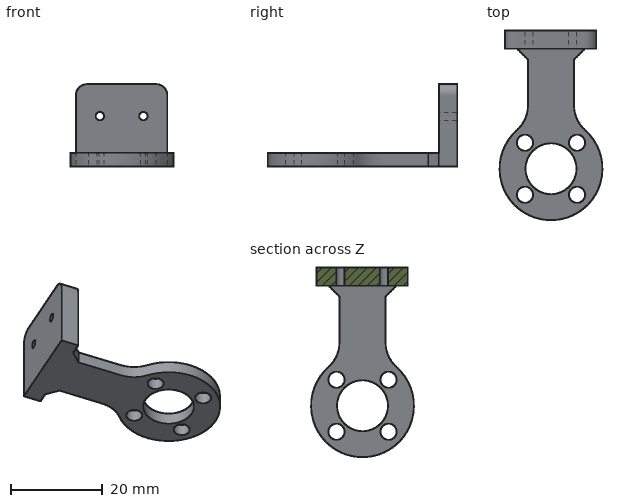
import cadquery as cq
import math

ring_diameter = 22.5
bore_diameter = 11.05
base_thickness = 3.0
ring_hole_diameter = 3.48
ring_hole_spacing = 11.35

overall_length = 41.4
plate_width = 20.0
plate_height = 18.0
plate_thickness = 4.0
plate_corner_radius = 2.5
plate_center_x = -0.1
plate_hole_diameter = 1.8
plate_hole_spacing = 9.5
plate_hole_height = 11.0

neck_width = 10.1
flare_width = 14.8
neck_blend_radius = 7.15

ring_radius = ring_diameter / 2
plate_back_y = overall_length - ring_radius
plate_front_y = plate_back_y - plate_thickness


def make_ring():
    return cq.Workplane("XY").circle(ring_radius).extrude(base_thickness)


def make_neck():
    """Flat neck: 45 degree flares at the plate, concave arcs tangent to the ring rim."""
    half_neck = neck_width / 2
    half_flare = flare_width / 2
    flare_start_y = plate_front_y - (half_flare - half_neck)

    blend_x = half_neck + neck_blend_radius
    center_distance = ring_radius + neck_blend_radius
    blend_y = math.sqrt(center_distance**2 - blend_x**2)

    ring_touch_x = blend_x * ring_radius / center_distance
    ring_touch_y = blend_y * ring_radius / center_distance
    arc_sweep = math.atan2(blend_y, blend_x)
    arc_mid_x = blend_x - neck_blend_radius * math.cos(arc_sweep / 2)
    arc_mid_y = blend_y - neck_blend_radius * math.sin(arc_sweep / 2)

    return (
        cq.Workplane("XY")
        .moveTo(0, 0)
        .lineTo(ring_touch_x, ring_touch_y)
        .threePointArc((arc_mid_x, arc_mid_y), (half_neck, blend_y))
        .lineTo(half_neck, flare_start_y)
        .lineTo(half_flare, plate_front_y)
        .lineTo(-half_flare, plate_front_y)
        .lineTo(-half_neck, flare_start_y)
        .lineTo(-half_neck, blend_y)
        .threePointArc((-arc_mid_x, arc_mid_y), (-ring_touch_x, ring_touch_y))
        .close()
        .extrude(base_thickness)
    )


def make_plate():
    """Upright plate with rounded top corners and two through holes."""
    plate = (
        cq.Workplane("XY")
        .box(plate_width, plate_thickness, plate_height, centered=(True, False, False))
        .edges("|Y and >Z")
        .fillet(plate_corner_radius)
    )
    holes = (
        cq.Workplane("XZ")
        .center(0, plate_hole_height)
        .rarray(plate_hole_spacing, 0.4, 2, 1)
        .circle(plate_hole_diameter / 2)
        .extrude(-plate_thickness)
    )
    return plate.cut(holes).translate((plate_center_x, plate_front_y, 0))


def make_ring_holes():
    """Central bore and the four holes around it."""
    bore = cq.Workplane("XY").circle(bore_diameter / 2).extrude(base_thickness)
    small_holes = (
        cq.Workplane("XY")
        .rarray(ring_hole_spacing, ring_hole_spacing, 2, 2)
        .circle(ring_hole_diameter / 2)
        .extrude(base_thickness)
    )
    return bore.union(small_holes)


result = make_ring().union(make_neck()).union(make_plate()).cut(make_ring_holes())